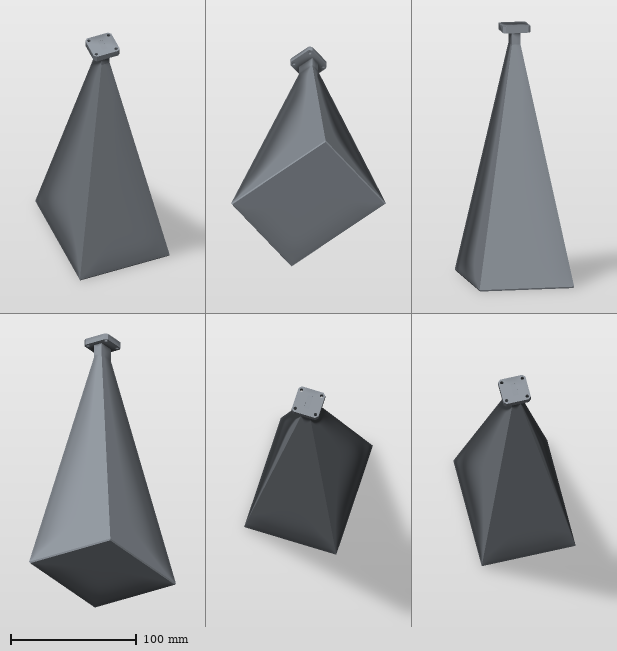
import cadquery as cq

height = 207.0
mouth_x = 96.7
mouth_y = 77.2

lip_height = 1.2
lip_inset = 0.6

neck_x = 13.5
neck_y = 7.0
neck_length = 10.1

flange_side = 22.4
flange_thickness = 5.2
corner_chamfer = 2.0
hole_diameter = 2.7
hole_pitch_x = 16.4
hole_pitch_y = 17.0

port_x = 10.8
port_y = 4.1
port_depth = 0.1

flange_bottom = height - flange_thickness
horn_top = flange_bottom - neck_length


def tapered_block(bottom_z, bottom_size, top_z, top_size):
    """Pyramid frustum between two centred rectangles."""
    return (
        cq.Workplane("XY", origin=(0, 0, bottom_z))
        .rect(*bottom_size)
        .workplane(offset=top_z - bottom_z)
        .rect(*top_size)
        .loft(ruled=True)
    )


def make_flange():
    """Square plate with cut corners, four through holes and the port recess."""
    plate = (
        cq.Workplane("XY", origin=(0, 0, flange_bottom))
        .rect(flange_side, flange_side)
        .extrude(flange_thickness)
        .edges("|Z")
        .chamfer(corner_chamfer)
    )
    plate = (
        plate.faces(">Z")
        .workplane(origin=(0, 0, height))
        .rect(hole_pitch_x, hole_pitch_y, forConstruction=True)
        .vertices()
        .hole(hole_diameter)
    )
    port = cq.Workplane("XY", origin=(0, 0, height)).rect(port_x, port_y).extrude(-port_depth)
    return plate.cut(port)


mouth = (mouth_x, mouth_y)
lip_bottom = (mouth_x - 2 * lip_inset, mouth_y - 2 * lip_inset)
neck_size = (neck_x, neck_y)

lip = tapered_block(0, lip_bottom, lip_height, mouth)
horn = tapered_block(lip_height, mouth, horn_top, neck_size)
neck = cq.Workplane("XY", origin=(0, 0, horn_top)).rect(*neck_size).extrude(neck_length)

result = lip.union(horn).union(neck).union(make_flange())